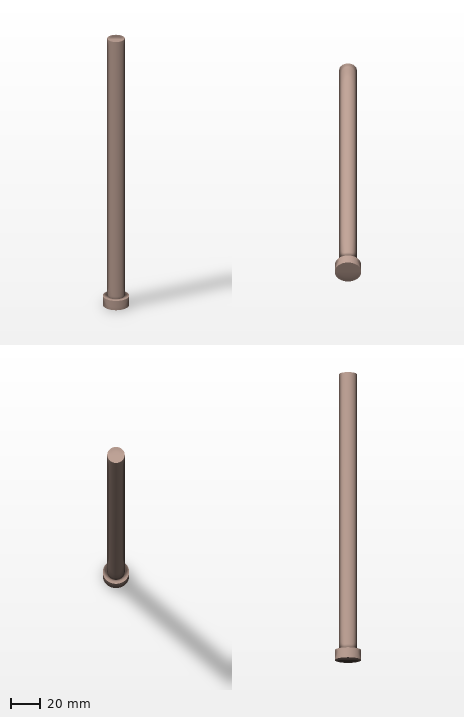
import cadquery as cq

total_length = 200.0
head_diameter = 18.0
head_height = 7.0
shaft_diameter = 12.0

shaft_length = total_length - head_height

head = cq.Workplane("XY").circle(head_diameter / 2).extrude(head_height)

result = head.faces(">Z").workplane().circle(shaft_diameter / 2).extrude(shaft_length)